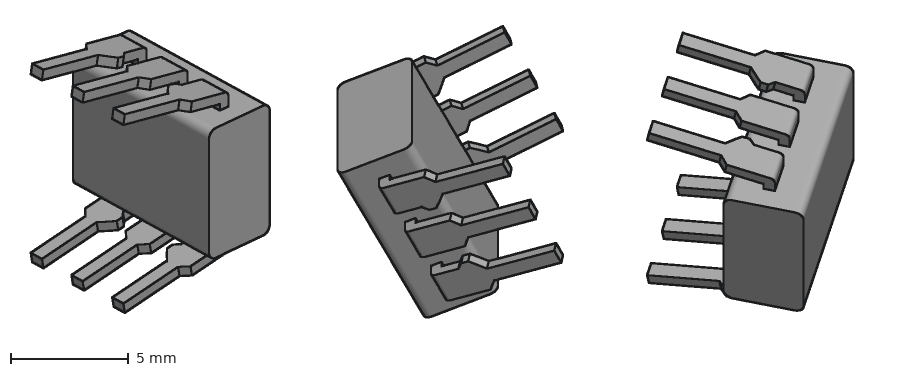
import cadquery as cq
import math

BODY_LENGTH = 8.5
BODY_DEPTH = 3.52
BODY_HEIGHT = 6.4
BODY_EDGE_RADIUS = 0.4

LEAD_PITCH = 2.54
LEAD_THICKNESS = 0.5
BEND_RADIUS = 0.25
SPLAY_ANGLE = 9.7
OVERALL_HEIGHT = 9.78
OVERALL_DEPTH = 7.22

PIN_HALF_WIDTH = 0.35
OUTER_HALF_WIDTH = 0.75
INNER_HALF_WIDTH = 0.73
LOBE_HALF_WIDTH = 0.98

LOBE_START = 0.89
LOBE_FULL = 1.14
LOBE_END = 1.48
SHOULDER_END = 1.72
PIN_START = 2.07

ALONG_Y = math.cos(math.radians(SPLAY_ANGLE))
ALONG_Z = math.sin(math.radians(SPLAY_ANGLE))

BODY_TOP = BODY_HEIGHT / 2
TIP_Y = BODY_DEPTH / 2 - OVERALL_DEPTH
TIP_Z = OVERALL_HEIGHT / 2 - LEAD_THICKNESS * ALONG_Y

CORNER_Y = -LEAD_THICKNESS / 2
ARM_LENGTH = (CORNER_Y - TIP_Y) / ALONG_Y
CORNER_Z = TIP_Z - ARM_LENGTH * ALONG_Z


def make_body():
    """Rectangular block with its four long edges rounded."""
    block = cq.Workplane("XY").box(BODY_LENGTH, BODY_DEPTH, BODY_HEIGHT)
    return block.edges("|X").fillet(BODY_EDGE_RADIUS)


def make_bent_strip():
    """Full-width bent strip, from the top of the body to the arm tip."""
    leg_back = LEAD_THICKNESS / 2
    bisector = math.radians((90 - SPLAY_ANGLE) / 2)
    outside_z = CORNER_Z + LEAD_THICKNESS * math.tan(bisector)
    profile = [
        (CORNER_Y, BODY_TOP),
        (CORNER_Y, CORNER_Z),
        (TIP_Y, TIP_Z),
        (TIP_Y + LEAD_THICKNESS * ALONG_Z, TIP_Z + LEAD_THICKNESS * ALONG_Y),
        (leg_back, outside_z),
        (leg_back, BODY_TOP),
    ]
    strip = cq.Workplane("YZ").polyline(profile).close().extrude(LOBE_HALF_WIDTH, both=True)
    outside_corner = cq.selectors.NearestToPointSelector((0, leg_back, outside_z))
    return strip.edges(outside_corner).fillet(BEND_RADIUS)


def cut_to_width(strip, outline):
    """Keep the part of the strip inside a flat outline of (across, along the arm) points."""
    arm_plane = cq.Plane(
        origin=(0, CORNER_Y, CORNER_Z),
        xDir=(1, 0, 0),
        normal=(0, ALONG_Z, ALONG_Y),
    )
    points = [(across, -along) for across, along in outline]
    blank = cq.Workplane(arm_plane).polyline(points).close().extrude(BODY_HEIGHT, both=True)
    return strip.intersect(blank)


BEHIND_BEND = -BODY_DEPTH / 2

PIN_OUTLINE = [
    (-OUTER_HALF_WIDTH, BEHIND_BEND),
    (-OUTER_HALF_WIDTH, SHOULDER_END),
    (-PIN_HALF_WIDTH, PIN_START),
    (-PIN_HALF_WIDTH, ARM_LENGTH),
    (PIN_HALF_WIDTH, ARM_LENGTH),
    (PIN_HALF_WIDTH, PIN_START),
]

MIDDLE_OUTLINE = PIN_OUTLINE + [
    (OUTER_HALF_WIDTH, SHOULDER_END),
    (OUTER_HALF_WIDTH, BEHIND_BEND),
]

END_OUTLINE = PIN_OUTLINE + [
    (INNER_HALF_WIDTH, SHOULDER_END),
    (LOBE_HALF_WIDTH, LOBE_END),
    (LOBE_HALF_WIDTH, LOBE_FULL),
    (INNER_HALF_WIDTH, LOBE_START),
    (INNER_HALF_WIDTH, BEHIND_BEND),
]

bent_strip = make_bent_strip()
middle_lead = cut_to_width(bent_strip, MIDDLE_OUTLINE)
left_lead = cut_to_width(bent_strip, END_OUTLINE).translate((-LEAD_PITCH, 0, 0))
right_lead = left_lead.mirror("YZ")

result = make_body()
for lead in (left_lead, middle_lead, right_lead):
    result = result.union(lead).union(lead.mirror("XY"))